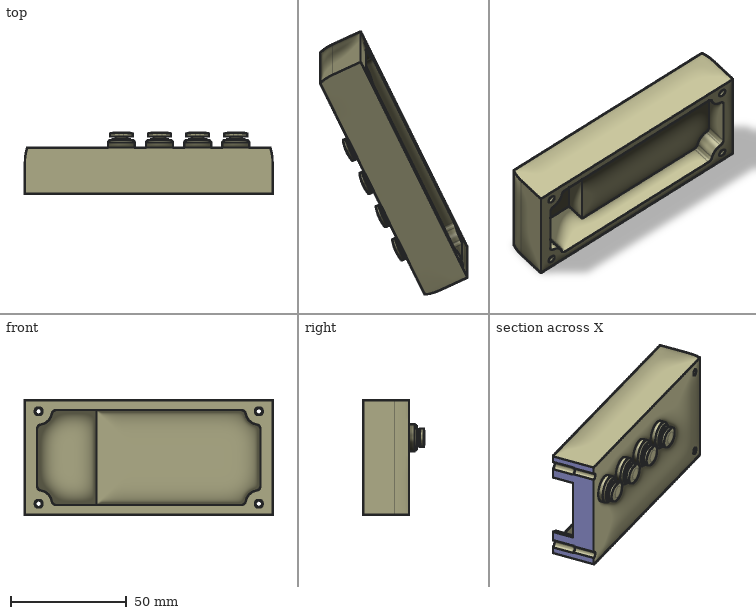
import cadquery as cq
import math

LENGTH = 107.3
DEPTH = 20.0
HEIGHT = 49.7

SIDE_ARC_RADIUS = 20.0
SIDE_ARC_DEPTH = 6.4

SCREW_SPACING_X = 95.3
SCREW_SPACING_Z = 40.0
SCREW_ENTRY_DIAMETER = 3.4
SCREW_ENTRY_DEPTH = DEPTH / 2
SCREW_DIAMETER = 2.8

CAVITY_LENGTH = 96.6
CAVITY_HEIGHT = 41.1
CAVITY_DEPTH = 18.8
LOBE_RADIUS = 5.8
LOBE_BLEND_RADIUS = 2.0
STEP_FLOOR_DEPTH = 9.8
STEP_X = -22.6

BUTTON_COUNT = 4
BUTTON_SPACING = 16.5
LAST_BUTTON_X = 37.65
BUTTON_Z = 8.6
BASE_DIAMETER = 11.8
BASE_TOP_DIAMETER = 10.0
BASE_STRAIGHT_HEIGHT = 2.2
BASE_CONE_HEIGHT = 1.1
COLLAR_DIAMETER = 7.5
COLLAR_HEIGHT = 0.5
NECK_DIAMETER = 5.2
NECK_HEIGHT = 0.9
CAP_LENGTH = 10.0
CAP_WIDTH = 8.0
CAP_HEIGHT = 1.9
CAP_CONE_HEIGHT = 0.5
CAP_TOP_DIAMETER = NECK_DIAMETER


def y_plane(y):
    """Work plane at depth y, facing +Y, with local x along -X and local y along Z."""
    return cq.Workplane(cq.Plane(origin=(0, y, 0), xDir=(-1, 0, 0), normal=(0, 1, 0)))


def make_housing():
    half = LENGTH / 2
    arc_start = DEPTH - SIDE_ARC_DEPTH

    def side_x(y):
        inset = SIDE_ARC_RADIUS - math.sqrt(SIDE_ARC_RADIUS**2 - (y - arc_start) ** 2)
        return half - inset

    arc_middle = arc_start + SIDE_ARC_DEPTH / 2
    return (
        cq.Workplane("XY")
        .workplane(offset=-HEIGHT / 2)
        .moveTo(-half, 0)
        .lineTo(half, 0)
        .lineTo(half, arc_start)
        .threePointArc((side_x(arc_middle), arc_middle), (side_x(DEPTH), DEPTH))
        .lineTo(-side_x(DEPTH), DEPTH)
        .threePointArc((-side_x(arc_middle), arc_middle), (-half, arc_start))
        .close()
        .extrude(HEIGHT)
    )


def screw_positions(workplane):
    return workplane.rect(SCREW_SPACING_X, SCREW_SPACING_Z, forConstruction=True).vertices()


def make_cavity():
    cavity = y_plane(0).rect(CAVITY_LENGTH, CAVITY_HEIGHT).extrude(CAVITY_DEPTH)
    lobes = screw_positions(y_plane(0)).circle(LOBE_RADIUS).extrude(CAVITY_DEPTH)
    cavity = cavity.cut(lobes)
    cavity = cavity.edges("|Y").fillet(LOBE_BLEND_RADIUS)

    step_length = LENGTH / 2 - STEP_X
    step = (
        y_plane(STEP_FLOOR_DEPTH)
        .center(-(STEP_X + step_length / 2), 0)
        .rect(step_length, HEIGHT)
        .extrude(DEPTH)
    )
    return cavity.cut(step)


def make_screw_holes():
    through = screw_positions(y_plane(0)).circle(SCREW_DIAMETER / 2).extrude(DEPTH)
    entry = screw_positions(y_plane(0)).circle(SCREW_ENTRY_DIAMETER / 2).extrude(SCREW_ENTRY_DEPTH)
    return through.union(entry)


def make_button(x):
    """Round base with a conical shoulder, collar and neck, under an oblong cap."""
    cone_y = DEPTH + BASE_STRAIGHT_HEIGHT
    collar_y = cone_y + BASE_CONE_HEIGHT
    neck_y = collar_y + COLLAR_HEIGHT
    cap_y = neck_y + NECK_HEIGHT
    top_y = cap_y + CAP_HEIGHT
    stem = (
        cq.Workplane("XY")
        .moveTo(0, DEPTH)
        .lineTo(BASE_DIAMETER / 2, DEPTH)
        .lineTo(BASE_DIAMETER / 2, cone_y)
        .lineTo(BASE_TOP_DIAMETER / 2, collar_y)
        .lineTo(COLLAR_DIAMETER / 2, collar_y)
        .lineTo(COLLAR_DIAMETER / 2, neck_y)
        .lineTo(NECK_DIAMETER / 2, neck_y)
        .lineTo(NECK_DIAMETER / 2, cap_y)
        .lineTo(0, cap_y)
        .close()
        .revolve(360, (0, 0, 0), (0, 1, 0))
    )
    cap_envelope = (
        cq.Workplane("XY")
        .moveTo(0, cap_y)
        .lineTo(CAP_LENGTH / 2, cap_y)
        .lineTo(CAP_LENGTH / 2, top_y - CAP_CONE_HEIGHT)
        .lineTo(CAP_TOP_DIAMETER / 2, top_y)
        .lineTo(0, top_y)
        .close()
        .revolve(360, (0, 0, 0), (0, 1, 0))
    )
    cap = y_plane(cap_y).slot2D(CAP_LENGTH, CAP_WIDTH).extrude(CAP_HEIGHT).intersect(cap_envelope)
    return stem.union(cap).translate((x, 0, BUTTON_Z))


result = make_housing().cut(make_cavity()).cut(make_screw_holes())
for index in range(BUTTON_COUNT):
    result = result.union(make_button(LAST_BUTTON_X - index * BUTTON_SPACING))